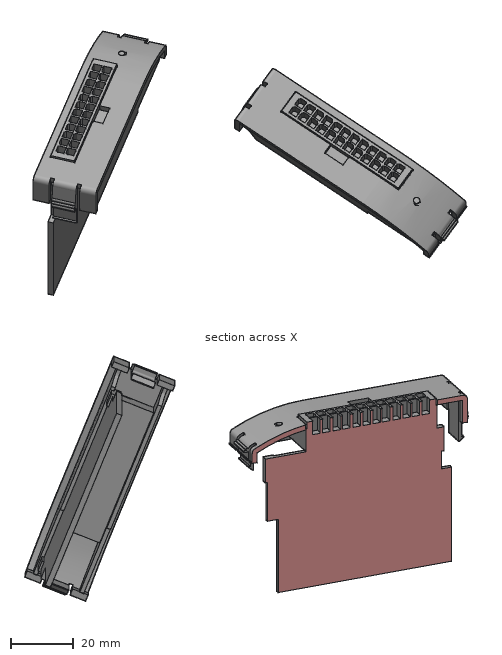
import cadquery as cq
import math


cover_width = 21.0
cover_top = 57.2
cover_thickness = 1.9
cover_end = 37.6
curve_start = 12.2
curve_radius = 56.6
corner_round = 1.7
front_skirt_bottom = 47.4
rear_skirt_bottom = 46.55
rear_lip_reach = 0.3
rear_lip_height = 0.4
under_top = cover_top - cover_thickness
inner_end = cover_end - cover_thickness

module_end = 39.1
tab_width = 7.75
slot_width = 1.25
front_slot_depth = cover_thickness
rear_slot_depth = 2.35
front_tab_foot = 38.95
front_tab_slope_top = cover_top - corner_round
rear_tab_bottom = 49.5
rear_tab_tip_height = 0.2
rear_tab_slope_foot = 38.8
rear_tab_slope_head = (37.15, 51.2)
front_ridges = ((-38.2, 50.4, 0.6), (-38.6, 49.3, 0.5), (-38.5, 48.1, 0.6))
rear_ridges = ((38.7, 49.9, 0.4), (38.0, 50.45, 0.4))

clip_thickness = 1.2
clip_root_round = 0.6
front_clip_bottom = 39.9
rear_clip_bottom = 42.9
hook_reach = 0.7
hook_height = 1.5
hook_tip_thickness = 0.2
clip_foot = 0.3

plate_thickness = 1.3
plate_centers = (-7.75, 8.2)
plate_front_bottom = 44.35
plate_rear_bottom = 45.8
plate_step_y = 12.8
arch_start_y = -30.5
arch_top = 49.05
arch_angle = 60
arch_round = 1.6

connector_width = 7.8
connector_length = 45.3
connector_x = -4.0
connector_y = -4.1
connector_top = 57.65
connector_gap = 0.2
core_bottom = front_skirt_bottom

cavity_corners = ("LLULUUULUULL", "LLULUUUULULL")
row_pitch = 3.47
column_pitch = 3.3
cavity_size = 2.7
cavity_cut = 0.55
cavity_depth = 4.7

notch_end_x = 3.5
notch_length = 7.2
notch_y = -4.0

light_radius = 1.0
light_x = -0.55
light_y = 25.35
light_top = 55.8
light_recess_x = -0.15
light_recess_y = 25.8
light_recess_depth = 0.5

card_thickness = 1.8
card_x = -6.3
card_front = -32.0
card_front_step = (-28.6, 32.9)
card_rear = 28.5
card_rear_step = (32.2, 25.5)
block_width = 3.1
block_bottom = 38.95
front_block_range = (-29.4, -25.0)
rear_block_range = (29.4, 32.9)


def curve_height(y, depth=0.0):
    """Height at y of the rear curve, or of the parallel curve `depth` below it."""
    return cover_top - curve_radius + math.sqrt((curve_radius - depth) ** 2 - (y - curve_start) ** 2)


under_rear = curve_height(inner_end, cover_thickness)


def across(outline, center_x, width):
    """Extrude a closed (Y, Z) outline to `width` along X about center_x."""
    return outline.extrude(width).translate((center_x - width / 2, 0, 0))


def profile(*points):
    """Closed straight-sided outline in (Y, Z)."""
    return cq.Workplane("YZ").polyline(points).close()


def span(center, length):
    """Limits of a length about its center."""
    return (center - length / 2, center + length / 2)


def box(x_range, y_range, z_range):
    """Box between the given limits."""
    sizes = [high - low for low, high in (x_range, y_range, z_range)]
    return cq.Workplane().box(*sizes, centered=False).translate((x_range[0], y_range[0], z_range[0]))


def along_underside(outline):
    """Continue an outline from the inside rear corner along the cover's underside to the front skirt."""
    middle = (curve_start + inner_end) / 2
    return outline.threePointArc(
        (middle, curve_height(middle, cover_thickness)), (curve_start, under_top)
    ).lineTo(-inner_end, under_top)


def round_edge(solid, y, z, radius):
    """Round the edge along X that is nearest to (y, z)."""
    edge = cq.selectors.NearestToPointSelector((solid.val().Center().x, y, z))
    return solid.edges("|X").edges(edge).fillet(radius)


def make_cover():
    middle = (curve_start + cover_end) / 2
    rear_top = curve_height(cover_end)
    lip_end = cover_end + rear_lip_reach
    outline = (
        cq.Workplane("YZ")
        .moveTo(-cover_end, front_skirt_bottom)
        .lineTo(-cover_end, cover_top)
        .lineTo(curve_start, cover_top)
        .threePointArc((middle, curve_height(middle)), (cover_end, rear_top))
        .lineTo(cover_end, rear_skirt_bottom + rear_lip_height)
        .lineTo(lip_end, rear_skirt_bottom + rear_lip_height)
        .lineTo(lip_end, rear_skirt_bottom)
        .lineTo(inner_end, rear_skirt_bottom)
        .lineTo(inner_end, under_rear)
    )
    outline = along_underside(outline).lineTo(-inner_end, front_skirt_bottom).close()
    cover = across(outline, 0, cover_width)
    cover = round_edge(cover, -cover_end, cover_top, corner_round)
    cover = round_edge(cover, cover_end, rear_top, corner_round)

    full_height = (0, connector_top)
    for side in (-1, 1):
        slot_x = span(side * (tab_width + slot_width) / 2, slot_width)
        cover = cover.cut(box(slot_x, (-cover_end, front_slot_depth - cover_end), full_height))
        cover = cover.cut(box(slot_x, (cover_end - rear_slot_depth, lip_end), full_height))
    return cover


def make_ridges(ridges):
    """Round finger ridges across a tab."""
    bars = cq.Workplane("YZ")
    for y, z, radius in ridges:
        bars = bars.union(across(cq.Workplane("YZ").center(y, z).circle(radius), 0, tab_width))
    return bars


def make_clip(end, root, bottom):
    """Hooked snap clip from `root` down to `bottom`; `end` is -1 at the front and 1 at the rear."""
    outer = inner_end + clip_thickness
    tip = outer + hook_reach
    shelf = bottom + hook_height
    outline = profile(
        (end * inner_end, root),
        (end * inner_end, bottom),
        (end * (inner_end + clip_foot), bottom),
        (end * tip, shelf - hook_tip_thickness),
        (end * tip, shelf),
        (end * outer, shelf),
        (end * outer, root),
    )
    return across(outline, 0, tab_width)


def make_front_tab():
    wedge = profile(
        (-inner_end, front_skirt_bottom),
        (-front_tab_foot, front_skirt_bottom),
        (-cover_end, front_tab_slope_top),
        (-inner_end, front_tab_slope_top),
    )
    tab = across(wedge, 0, tab_width).union(make_clip(-1, front_skirt_bottom, front_clip_bottom))
    tab = round_edge(tab, -inner_end - clip_thickness, front_skirt_bottom, clip_root_round)
    return tab.union(make_ridges(front_ridges))


def make_rear_tab():
    wedge = profile(
        (inner_end, rear_tab_bottom),
        (module_end, rear_tab_bottom),
        (module_end, rear_tab_bottom + rear_tab_tip_height),
        (rear_tab_slope_foot, rear_tab_bottom + rear_tab_tip_height),
        rear_tab_slope_head,
        (inner_end, rear_tab_slope_head[1]),
    )
    tab = across(wedge, 0, tab_width).union(make_ridges(rear_ridges))
    return tab.union(make_clip(1, rear_skirt_bottom, rear_clip_bottom))


def make_plate(center_x):
    arch_run = (arch_top - plate_front_bottom) / math.tan(math.radians(arch_angle))
    arch_corner_y = arch_start_y - arch_run
    outline = (
        along_underside(cq.Workplane("YZ").moveTo(inner_end, under_rear))
        .lineTo(-inner_end, arch_top)
        .lineTo(arch_corner_y, arch_top)
        .lineTo(arch_start_y, plate_front_bottom)
        .lineTo(plate_step_y, plate_front_bottom)
        .lineTo(plate_step_y, plate_rear_bottom)
        .lineTo(inner_end, plate_rear_bottom)
        .close()
    )
    plate = across(outline, center_x, plate_thickness)
    return round_edge(plate, arch_corner_y, arch_top, arch_round)


def make_cavity(x, y, corner):
    """Square contact cavity below the connector top, with its rear (U) or front (L) left corner cut."""
    half = cavity_size / 2
    toward_cut = 1 if corner == "U" else -1
    outline = [
        (half, -half * toward_cut),
        (half, half * toward_cut),
        (cavity_cut - half, half * toward_cut),
        (-half, (half - cavity_cut) * toward_cut),
        (-half, -half * toward_cut),
    ]
    plane = cq.Workplane("XY", origin=(x, y, connector_top))
    return plane.polyline(outline).close().extrude(-cavity_depth)


def add_connector(module):
    gap = 2 * connector_gap
    x_range = span(connector_x, connector_width)
    y_range = span(connector_y, connector_length)
    opening_x = span(connector_x, connector_width + gap)
    opening_y = span(connector_y, connector_length + gap)
    above_core = (under_top, connector_top)

    module = module.union(box(plate_centers, opening_y, (core_bottom, under_top)))
    module = module.cut(box(opening_x, opening_y, above_core))
    module = module.cut(box((connector_x, notch_end_x), span(notch_y, notch_length), above_core))
    module = module.union(box(x_range, y_range, above_core))

    for column, corners in enumerate(cavity_corners):
        x = connector_x + (column - 0.5) * column_pitch
        first_y = connector_y + (len(corners) - 1) / 2 * row_pitch
        for row, corner in enumerate(corners):
            module = module.cut(make_cavity(x, first_y - row * row_pitch, corner))
    return module


def add_light(module):
    """Flat-topped light set into the rear curve, with a recess of the same radius beside it."""
    floor = light_top - light_recess_depth
    for x, y in ((light_x, light_y), (light_recess_x, light_recess_y)):
        hole = cq.Workplane("XY", origin=(x, y, floor)).circle(light_radius)
        module = module.cut(hole.extrude(connector_top - floor))
    light = cq.Workplane("XY", origin=(light_x, light_y, floor)).circle(light_radius)
    return module.union(light.extrude(light_recess_depth))


def make_card():
    outline = profile(
        (card_front, 0),
        (card_front, card_front_step[1]),
        card_front_step,
        (card_front_step[0], core_bottom),
        (card_rear_step[0], core_bottom),
        card_rear_step,
        (card_rear, card_rear_step[1]),
        (card_rear, 0),
    )
    card = across(outline, card_x, card_thickness)
    for y_range in (front_block_range, rear_block_range):
        card = card.union(box(span(card_x, block_width), y_range, (block_bottom, core_bottom)))
    return card


result = make_cover().union(make_front_tab()).union(make_rear_tab())
for plate_x in plate_centers:
    result = result.union(make_plate(plate_x))
result = add_connector(result)
result = add_light(result)
result = result.union(make_card())